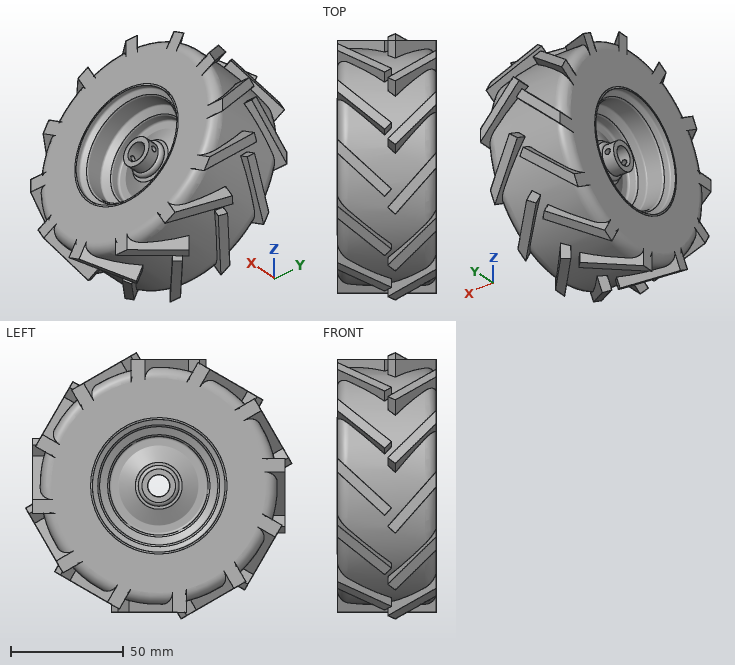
import cadquery as cq
import math


OVERALL_DIAMETER = 118.5
TYRE_WIDTH = 44.1
CROWN_RADIUS = 52.7
SHOULDER_FILLET = 5.0
LUG_COUNT = 12
LUG_WIDTH = 4.5
LEFT_LUG_TIP = (0.6, -11.5)
LEFT_LUG_ANGLE = 42.5
RIGHT_LUG_TIP = (2.1, -19.5)
RIGHT_LUG_ANGLE = 48.5
LUG_ROOT_RADIUS = 42.7

RIM_WIDTH = 44.2
SHEET = 0.8
LIP_RADIUS = 29.5
BEAD_SEAT_RADIUS = 26.3
WELL_RADIUS = 21.9
LIP_END = 19.4
BEAD_SEAT_START = 17.8
BEAD_SEAT_END = 8.8
WELL_START = 6.5
WEB_THICKNESS = 3.5
BARREL_FILLET = 1.0
WELL_FLOOR_FILLET = 1.1

BOSS_BASE_RADIUS = 17.8
BOSS_FOOT_FILLET = 0.5
BOSS_TOP_RADIUS = 10.4
BOSS_TOP = 5.8
HUB_RADIUS = 7.5
HUB_LENGTH = 30.8
BORE_RADIUS = 4.9
WELD_RADIUS = 1.7
PIN_HOLE_DIAMETER = 2.8
PIN_HOLE_OFFSET = 12.1

RIM_EDGE = RIM_WIDTH / 2
TYRE_CENTRE = (RIM_WIDTH - TYRE_WIDTH) / 2
WEB_FACE = WEB_THICKNESS / 2
LUG_PITCH = 360.0 / LUG_COUNT
SAME_PLACE = 0.01

OUTER_CORNER = -RIGHT_LUG_TIP[1] + LUG_WIDTH / 2 * math.cos(math.radians(RIGHT_LUG_ANGLE))
PITCH_RADIANS = math.radians(LUG_PITCH)
LUG_TOP = (OVERALL_DIAMETER / 2 - OUTER_CORNER * math.sin(PITCH_RADIANS)) / math.cos(PITCH_RADIANS)


def revolve_about_x(outline):
    """Turn a closed outline of (x, radius) about the X axis."""
    return outline.close().revolve(360, (0, 0, 0), (1, 0, 0))


def cylinder_x(radius, length, centre=0.0):
    """Solid cylinder along the X axis, with its middle at x = centre."""
    return cq.Workplane("YZ", origin=(centre, 0, 0)).circle(radius).extrude(length / 2, both=True)


def circles_at(corners):
    """Circular edges of a turned body that pass through the given (x, radius) corners."""
    def is_wanted(edge):
        box = edge.BoundingBox()
        return any(
            abs(box.xmin - x) < SAME_PLACE and abs(box.xmax - x) < SAME_PLACE and abs(box.zmax - r) < SAME_PLACE
            for x, r in corners
        )
    return is_wanted


def fillet_circles(body, corners, radius):
    edges = body.edges("%CIRCLE").filter(circles_at(corners))
    return body.newObject(edges.vals()).fillet(radius)


BARREL_STEPS = [
    (-LIP_END, LIP_RADIUS),
    (-BEAD_SEAT_START, BEAD_SEAT_RADIUS),
    (-BEAD_SEAT_END, BEAD_SEAT_RADIUS),
    (-WELL_START, WELL_RADIUS),
]


def make_barrel_blank():
    """Solid barrel: the stepped profile, one sheet thickness larger, on both sides."""
    left = [(-RIM_EDGE, LIP_RADIUS)] + BARREL_STEPS
    right = [(-x, r) for x, r in reversed(left)]
    outside = [(x, r + SHEET) for x, r in left + right]
    outline = cq.Workplane("XY").polyline([(-RIM_EDGE, 0)] + outside + [(RIM_EDGE, 0)])
    return revolve_about_x(outline)


def make_dish():
    """Stepped hollow on the -X side of the web."""
    floor_corner = (-WEB_FACE, WELL_RADIUS)
    points = [(-RIM_EDGE, 0), (-RIM_EDGE, LIP_RADIUS)] + BARREL_STEPS + [floor_corner, (-WEB_FACE, 0)]
    dish = revolve_about_x(cq.Workplane("XY").polyline(points))
    dish = fillet_circles(dish, BARREL_STEPS, BARREL_FILLET)
    return fillet_circles(dish, [floor_corner], WELL_FLOOR_FILLET)


def make_boss():
    """Conical boss standing out from both faces of the web."""
    outline = cq.Workplane("XY").polyline([
        (-BOSS_TOP, 0),
        (-BOSS_TOP, BOSS_TOP_RADIUS),
        (-WEB_FACE, BOSS_BASE_RADIUS),
        (WEB_FACE, BOSS_BASE_RADIUS),
        (BOSS_TOP, BOSS_TOP_RADIUS),
        (BOSS_TOP, 0),
    ])
    return revolve_about_x(outline)


def make_weld():
    """Half-round ring on the -X boss face, around the hub tube."""
    outline = (
        cq.Workplane("XY")
        .moveTo(-BOSS_TOP, BORE_RADIUS)
        .lineTo(-BOSS_TOP, HUB_RADIUS)
        .threePointArc(
            (-BOSS_TOP - WELD_RADIUS, HUB_RADIUS + WELD_RADIUS),
            (-BOSS_TOP - 2 * WELD_RADIUS, HUB_RADIUS),
        )
        .lineTo(-BOSS_TOP - 2 * WELD_RADIUS, BORE_RADIUS)
    )
    return revolve_about_x(outline)


def make_pin_hole():
    """Cross hole along Y through both walls of the hub tube."""
    return (
        cq.Workplane("XZ")
        .center(-PIN_HOLE_OFFSET, 0)
        .circle(PIN_HOLE_DIAMETER / 2)
        .extrude(2 * HUB_RADIUS, both=True)
    )


def make_rim():
    dish = make_dish()
    weld = make_weld()
    pin_hole = make_pin_hole()
    rim = make_barrel_blank().cut(dish).cut(dish.mirror("YZ")).union(make_boss())
    boss_feet = [(-WEB_FACE, BOSS_BASE_RADIUS), (WEB_FACE, BOSS_BASE_RADIUS)]
    rim = fillet_circles(rim, boss_feet, BOSS_FOOT_FILLET)
    rim = rim.union(cylinder_x(HUB_RADIUS, HUB_LENGTH)).union(weld).union(weld.mirror("YZ"))
    rim = rim.cut(cylinder_x(BORE_RADIUS, HUB_LENGTH))
    return rim.cut(pin_hole).cut(pin_hole.mirror("YZ"))


def make_lug(tip, angle, side):
    """Slanted bar on top of the tyre, from its tip out past one sidewall (side -1 or +1)."""
    length = TYRE_WIDTH
    return (
        cq.Workplane("XY", origin=(tip[0], tip[1], LUG_ROOT_RADIUS))
        .transformed(rotate=(0, 0, side * angle))
        .center(side * length / 2, 0)
        .rect(length, LUG_WIDTH)
        .extrude(LUG_TOP - LUG_ROOT_RADIUS)
    )


def make_tyre():
    carcass = cylinder_x(CROWN_RADIUS, TYRE_WIDTH, TYRE_CENTRE).edges().fillet(SHOULDER_FILLET)
    trim = cylinder_x(OVERALL_DIAMETER, TYRE_WIDTH, TYRE_CENTRE)
    left_lug = make_lug(LEFT_LUG_TIP, LEFT_LUG_ANGLE, -1).intersect(trim)
    right_lug = make_lug(RIGHT_LUG_TIP, RIGHT_LUG_ANGLE, 1).intersect(trim)
    tyre = carcass
    for i in range(LUG_COUNT):
        for lug in (left_lug, right_lug):
            tyre = tyre.union(lug.rotate((0, 0, 0), (1, 0, 0), i * LUG_PITCH))
    return tyre.cut(make_barrel_blank())


rim = make_rim()
tyre = make_tyre()

result = cq.Compound.makeCompound([rim.val(), tyre.val()])